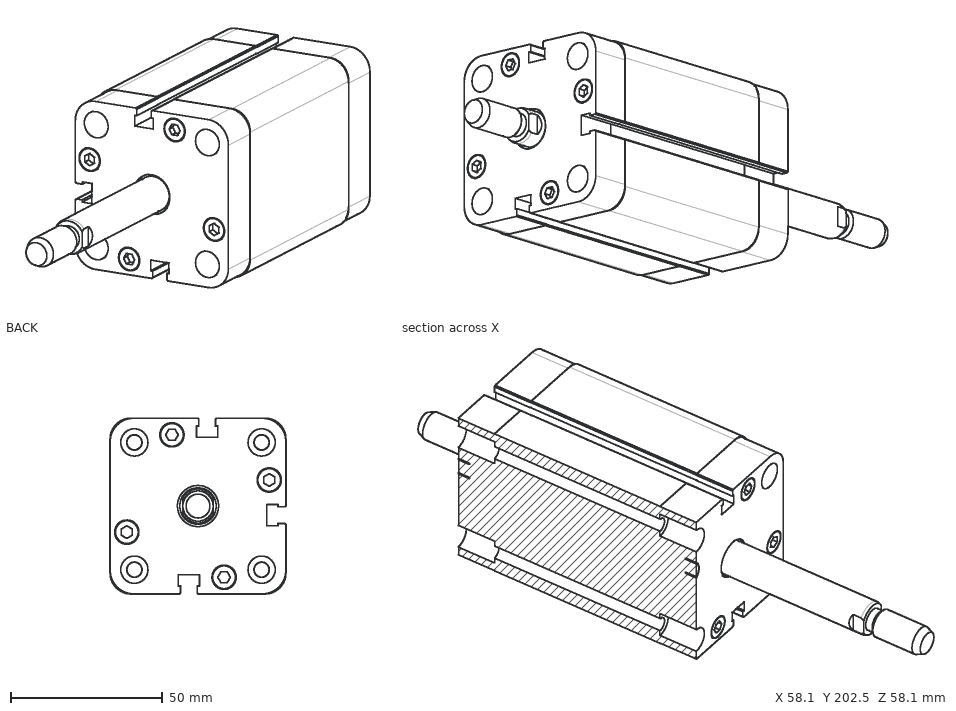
import cadquery as cq
import math


tube_side = 58.1
cover_side = 57.9
body_length = 96.0
cover_length = 14.6
cover_corner_radius = 7.6
tube_corner_radius = 7.0

slot_offset = 3.0
slot_neck_width = 5.4
slot_neck_depth = 2.6
slot_inner_width = 6.9
slot_depth = 6.3
slot_edge_chamfer = 0.4
slot_angles = (0, 90, 180)

mount_pitch = 42.0
mount_diameter = 4.92
mount_recess_diameter = 9.0
mount_recess_depth = cover_length

screw_offset_across = 8.6
screw_offset_out = 23.5
screw_head_diameter = 7.5
screw_recess_diameter = 8.0
screw_recess_depth = 4.5
socket_across_flats = 3.6
socket_depth = 2.5
screw_angles = (0, 90, 180, 270)

rod_bore_diameter = 13.6
rod_bore_depth = 1.0

rod_diameter = 12.0
rod_edge_chamfer = 0.35
rod_edge_chamfer_length = 1.2
rod_shoulder = 6.25
stroke = 50.0
pin_length = 22.0
thread_diameter = 10.0
thread_tip_diameter = 7.9
thread_chamfer_length = 2.6
neck_diameter = 7.9
neck_length = 3.6
flats_width = 10.0
flats_length = 4.3


def square_prism(side, corner_radius, length, start):
    """Square bar with rounded edges, running along +Y from Y = start."""
    bar = cq.Workplane("XY").box(side, length, side, centered=(True, False, True))
    return bar.edges("|Y").fillet(corner_radius).translate((0, start, 0))


def y_cylinder(diameter, start, length, x=0, z=0):
    """Cylinder along +Y starting at Y = start."""
    solid = cq.Solid.makeCylinder(diameter / 2, length, cq.Vector(x, start, z), cq.Vector(0, 1, 0))
    return cq.Workplane(obj=solid)


def mirror_ends(shape):
    """Copy of a shape from the -Y cover placed at the opposite cover."""
    return shape.mirror("XZ").translate((0, body_length, 0))


def turned_about_rod(shape, angle):
    return shape.rotate((0, 0, 0), (0, 1, 0), -angle)


def sensor_slot(side, start, length):
    """T-slot cutter for the +Z side of a square bar, with chamfered mouth edges."""
    inner_half = slot_inner_width / 2
    neck_half = slot_neck_width / 2
    mouth_half = neck_half + slot_edge_chamfer
    mouth_z = side / 2
    floor_z = mouth_z - slot_depth
    neck_z = mouth_z - slot_neck_depth
    half_outline = [
        (inner_half, floor_z),
        (inner_half, neck_z),
        (neck_half, neck_z),
        (neck_half, mouth_z - slot_edge_chamfer),
        (mouth_half, mouth_z),
    ]
    mirrored_outline = [(-x, z) for x, z in reversed(half_outline)]
    cutter = cq.Workplane("XZ").polyline(half_outline + mirrored_outline).close().extrude(-length)
    return cutter.translate((-slot_offset, start, 0))


def housing_section(side, corner_radius, start, length):
    """Slotted square bar: one cover or the tube between the covers."""
    section = square_prism(side, corner_radius, length, start)
    for angle in slot_angles:
        section = section.cut(turned_about_rod(sensor_slot(side, start, length), angle))
    return section


def mount_recess(x, z):
    return y_cylinder(mount_recess_diameter, 0, mount_recess_depth, x, z)


def screw_gap():
    """Ring gap around a sunk screw head, with the hexagon socket in the head."""
    x = screw_offset_across
    z = screw_offset_out
    gap = y_cylinder(screw_recess_diameter, 0, screw_recess_depth, x, z)
    gap = gap.cut(y_cylinder(screw_head_diameter, 0, screw_recess_depth, x, z))
    across_corners = socket_across_flats / math.cos(math.pi / 6)
    socket = cq.Workplane("XZ").polygon(6, across_corners).extrude(-socket_depth)
    return gap.union(socket.translate((x, 0, z)))


def make_housing():
    tube_length = body_length - 2 * cover_length
    cover = housing_section(cover_side, cover_corner_radius, 0, cover_length)
    tube = housing_section(tube_side, tube_corner_radius, cover_length, tube_length)
    housing = tube.union(cover).union(mirror_ends(cover))

    for x in (-mount_pitch / 2, mount_pitch / 2):
        for z in (-mount_pitch / 2, mount_pitch / 2):
            recess = mount_recess(x, z)
            housing = housing.cut(y_cylinder(mount_diameter, 0, body_length, x, z))
            housing = housing.cut(recess).cut(mirror_ends(recess))

    for angle in screw_angles:
        screw = turned_about_rod(screw_gap(), angle)
        housing = housing.cut(screw).cut(mirror_ends(screw))

    rod_bore = y_cylinder(rod_bore_diameter, 0, rod_bore_depth)
    return housing.cut(rod_bore).cut(mirror_ends(rod_bore))


def rod_end(shoulder):
    """Half of the rod, from mid-housing towards -Y, shoulder at Y = -shoulder."""
    rod_radius = rod_diameter / 2
    thread_radius = thread_diameter / 2
    neck_radius = neck_diameter / 2
    shoulder_y = -shoulder
    tip_y = shoulder_y - pin_length
    thread_y = shoulder_y - neck_length
    profile = (
        cq.Workplane("XY")
        .moveTo(0, body_length / 2)
        .lineTo(rod_radius, body_length / 2)
        .lineTo(rod_radius, shoulder_y + rod_edge_chamfer_length)
        .lineTo(rod_radius - rod_edge_chamfer, shoulder_y)
        .lineTo(neck_radius, shoulder_y)
        .lineTo(neck_radius, thread_y + thread_radius - neck_radius)
        .lineTo(thread_radius, thread_y)
        .lineTo(thread_radius, tip_y + thread_chamfer_length)
        .lineTo(thread_tip_diameter / 2, tip_y)
        .lineTo(0, tip_y)
        .close()
    )
    rod = profile.revolve(360, (0, 0, 0), (0, 1, 0))
    flat_x = flats_width / 2
    flat_end_y = shoulder_y + flats_length
    flat_depth = rod_radius - flat_x
    flat_outline = [
        (flat_x, shoulder_y),
        (flat_x, flat_end_y),
        (rod_radius, flat_end_y + flat_depth),
        (rod_radius, shoulder_y),
    ]
    flat_cut = cq.Workplane("XY").polyline(flat_outline).close().extrude(rod_radius, both=True)
    return rod.cut(flat_cut).cut(flat_cut.mirror("YZ"))


front_rod = rod_end(rod_shoulder + stroke)
rear_rod = mirror_ends(rod_end(rod_shoulder))
result = make_housing().union(front_rod).union(rear_rod)